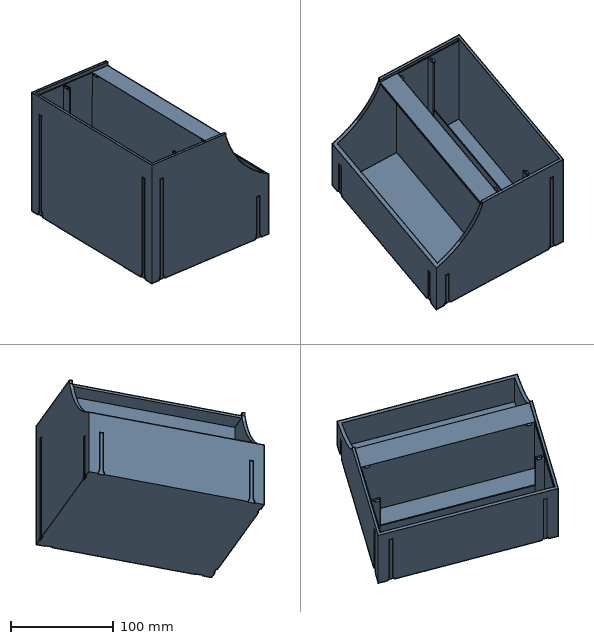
import cadquery as cq

length = 182.6
depth = 149.2
height = 134.5
back_wall_height = 67.8
side_wall = 3.7
front_wall = 2.7
back_wall = 3.7
floor = 2.7

rim_end = 54.5
rim_end_height = 130.6
scoop_radius = 102.0

rim = 2.7
slot_depth = 4.0
shelf_depth = 20.5
shelf_thickness = 2.7

wall_draft = 0.7
cross_wall = 1.5
pitch = 36.7
post_width = 9.1
web = 0.7
web_height = 54.8

lug_inset = 9.3
lug_base = 6.5
lug_tip = 3.0
lug_reach = 2.2
lug_step = 0.2

groove_inset = 13.2
groove_width = 3.7
groove_mouth = 7.3
groove_flare = 5.1
groove_cut = 1.1
groove_top_gap = 20.5

front_face = -depth / 2
back_face = depth / 2
inner_length = length - 2 * side_wall
ledge = height - slot_depth
rim_end_y = back_face - rim_end
shelf_front = rim_end_y - shelf_depth
mid_wall_front = shelf_front - pitch


def block(size_x, y_min, y_max, z_min, z_max, x=0):
    """Box centred on x, between the given Y and Z limits."""
    box = cq.Workplane("XY").box(size_x, y_max - y_min, z_max - z_min, centered=(True, False, False))
    return box.translate((x, y_min, z_min))


def shell():
    """Open box whose side walls sweep down to the low back wall."""
    profile = (
        cq.Workplane("YZ")
        .moveTo(front_face, 0)
        .lineTo(back_face, 0)
        .lineTo(back_face, back_wall_height)
        .radiusArc((rim_end_y, rim_end_height), scoop_radius)
        .lineTo(rim_end_y, height)
        .lineTo(front_face, height)
        .close()
        .extrude(length / 2, both=True)
    )
    cavity = block(inner_length, front_face + front_wall, back_face - back_wall, floor, height)
    lid_slot = block(length - 2 * rim, front_face + front_wall, back_face, ledge, height)
    return profile.cut(cavity).cut(lid_slot)


def shelf():
    """Flat cover over the front part of the back bin."""
    return block(inner_length, shelf_front, rim_end_y, ledge - shelf_thickness, ledge)


def lugs(wall_front, top):
    """Pair of tapered lugs under the top edge of a cross wall."""
    pair = cq.Workplane("XY")
    for side in (-1, 1):
        x = side * (length / 2 - lug_inset)
        outline = [
            (x - lug_base / 2, wall_front),
            (x + lug_base / 2, wall_front),
            (x + lug_tip / 2, wall_front - lug_reach),
            (x - lug_tip / 2, wall_front - lug_reach),
        ]
        lug = cq.Workplane("XY").workplane(offset=top).polyline(outline).close().extrude(-lug_reach)
        underside = (
            cq.Workplane("YZ")
            .polyline([
                (wall_front, top - lug_reach),
                (wall_front - lug_reach, top - lug_reach),
                (wall_front - lug_reach, top),
            ])
            .close()
            .extrude(length / 2, both=True)
        )
        pair = pair.add(lug.cut(underside))
    return pair.combine()


def rear_cross_wall():
    """Full-height wall below the front edge of the shelf, its front face drafted out towards the floor."""
    wall = (
        cq.Workplane("YZ")
        .polyline([
            (shelf_front, ledge),
            (shelf_front - wall_draft, floor),
            (shelf_front + cross_wall, floor),
            (shelf_front + cross_wall, ledge),
        ])
        .close()
        .extrude(inner_length / 2, both=True)
    )
    return wall.union(lugs(shelf_front, ledge - lug_step))


def middle_cross_wall():
    """Low thin web between two tall end posts."""
    wall = block(inner_length, mid_wall_front, mid_wall_front + web, floor, web_height)
    for side in (-1, 1):
        x = side * (inner_length - post_width) / 2
        wall = wall.union(block(post_width, mid_wall_front, mid_wall_front + cross_wall, floor, ledge, x))
    return wall.union(lugs(mid_wall_front, ledge - lug_step))


def groove(x, y, turn, wall_top):
    """Upright groove with a flared mouth, cut inward at (x, y) on a face turned about Z from the front."""
    top = wall_top - groove_top_gap
    cutter = (
        cq.Workplane("XZ")
        .polyline([
            (-groove_mouth / 2, 0),
            (groove_mouth / 2, 0),
            (groove_width / 2, groove_flare),
            (groove_width / 2, top),
            (-groove_width / 2, top),
            (-groove_width / 2, groove_flare),
        ])
        .close()
        .extrude(-groove_cut)
    )
    return cutter.rotate((0, 0, 0), (0, 0, 1), turn).translate((x, y, 0))


result = shell().union(shelf()).union(rear_cross_wall()).union(middle_cross_wall())

groove_x = length / 2 - groove_inset
groove_y = depth / 2 - groove_inset
for side in (-1, 1):
    result = result.cut(groove(side * groove_x, front_face, 0, height))
    result = result.cut(groove(side * groove_x, back_face, 180, back_wall_height))
    result = result.cut(groove(side * length / 2, -groove_y, side * 90, height))
    result = result.cut(groove(side * length / 2, groove_y, side * 90, back_wall_height))
result = result.solids()